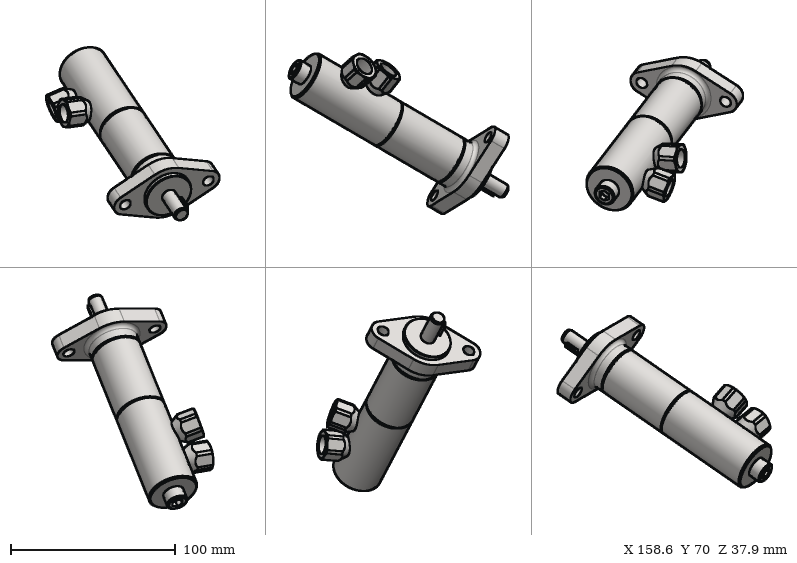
import cadquery as cq
import math


screw_dia = 13.0
screw_end_dia = 11.1
screw_chamfer_length = 0.6
socket_corner_dia = 7.1
socket_depth = 4.0
socket_tip_depth = 1.9

barrel_start = 8.0
barrel_dia = 31.0
barrel_end_dia = 29.3
barrel_chamfer_length = 1.0
groove_dia = 28.0
groove_width = 1.0
groove_starts = (69.6, 116.5)

flange_start = 125.8
flange_thickness = 10.2
flange_center_dia = 37.9
flange_length = 70.0
flange_lobe_radius = 7.5
flange_hole_dia = 7.0
flange_fillet = 2.5

pilot_dia = 30.0
pilot_length = 3.0
pilot_end_dia = 29.3
pilot_chamfer_length = 0.3
shaft_end = 158.6
shaft_dia = 9.0
shaft_tip_dia = 8.0
shaft_chamfer_length = 1.3
key_disc_dia = 10.0
key_disc_x = 149.4
key_disc_y = 7.0
key_width = 2.9
key_top = 6.0

nut_flats = 17.0
nut_corner_dia = 18.4
nut_end = 30.6
nut_cone_start = 12.7
nut_flat_start = 18.9
nut_cone_angle = 30.0
nut_end_dia = 16.8
nut_end_chamfer_angle = 30.0
bore_dia = 11.3
bore_wall_depth = 13.2
bore_floor_dia = 6.5
bore_depth = 15.4
nut_tilt = 10.0
lower_nut_x = 30.8
lower_nut_turn = 23.0
upper_nut_x = 48.8
upper_nut_turn = 2.0

flange_end = flange_start + flange_thickness
pilot_end = flange_end + pilot_length


def revolve_about_x(stations):
    """Solid of revolution about X through (x, diameter) stations."""
    points = [(x, dia / 2) for x, dia in stations]
    outline = [(points[0][0], 0)] + points + [(points[-1][0], 0)]
    return cq.Workplane("XY").polyline(outline).close().revolve(360, (0, 0), (1, 0))


def end_screw():
    body = revolve_about_x([
        (0, screw_end_dia),
        (screw_chamfer_length, screw_dia),
        (barrel_start + barrel_chamfer_length, screw_dia),
    ])
    socket = (
        cq.Workplane("YZ").transformed(rotate=(0, 0, 90))
        .polygon(6, socket_corner_dia).extrude(socket_depth)
    )
    socket_flats = socket_corner_dia * math.cos(math.radians(30))
    tip = cq.Solid.makeCone(
        socket_flats / 2, 0, socket_tip_depth, cq.Vector(socket_depth, 0, 0), cq.Vector(1, 0, 0)
    )
    return body, socket.union(tip)


def barrel():
    body = revolve_about_x([
        (barrel_start, barrel_end_dia),
        (barrel_start + barrel_chamfer_length, barrel_dia),
        (flange_start, barrel_dia),
    ])
    for x in groove_starts:
        ring = (
            cq.Workplane("YZ").workplane(offset=x)
            .circle(flange_center_dia / 2).circle(groove_dia / 2).extrude(groove_width)
        )
        body = body.cut(ring)
    return body


def flange():
    center_radius = flange_center_dia / 2
    lobe_y = flange_length / 2 - flange_lobe_radius
    sine = (center_radius - flange_lobe_radius) / lobe_y
    cosine = math.sqrt(1 - sine ** 2)
    inner = (center_radius * sine, center_radius * cosine)
    outer = (lobe_y + flange_lobe_radius * sine, flange_lobe_radius * cosine)
    plate = (
        cq.Workplane("YZ").workplane(offset=flange_start)
        .moveTo(-inner[0], inner[1])
        .threePointArc((0, center_radius), inner)
        .lineTo(*outer)
        .threePointArc((flange_length / 2, 0), (outer[0], -outer[1]))
        .lineTo(inner[0], -inner[1])
        .threePointArc((0, -center_radius), (-inner[0], -inner[1]))
        .lineTo(-outer[0], -outer[1])
        .threePointArc((-flange_length / 2, 0), (-outer[0], outer[1]))
        .close().extrude(flange_thickness)
    )
    holes = (
        cq.Workplane("YZ").workplane(offset=flange_start)
        .pushPoints([(-lobe_y, 0), (lobe_y, 0)])
        .circle(flange_hole_dia / 2).extrude(flange_thickness)
    )
    return plate.cut(holes)


def flange_root():
    """Concave fillet ring between the barrel and the flange face."""
    barrel_radius = barrel_dia / 2
    fillet_start = flange_start - flange_fillet
    bow = flange_fillet * math.sqrt(0.5)
    outer_radius = barrel_radius + flange_fillet
    return (
        cq.Workplane("XY").moveTo(fillet_start, groove_dia / 2)
        .lineTo(fillet_start, barrel_radius)
        .threePointArc((fillet_start + bow, outer_radius - bow), (flange_start, outer_radius))
        .lineTo(flange_start, groove_dia / 2)
        .close().revolve(360, (0, 0), (1, 0))
    )


def pilot_and_shaft():
    pilot = revolve_about_x([
        (flange_end, pilot_dia),
        (pilot_end - pilot_chamfer_length, pilot_dia),
        (pilot_end, pilot_end_dia),
    ])
    shaft = revolve_about_x([
        (flange_end, shaft_dia),
        (shaft_end - shaft_chamfer_length, shaft_dia),
        (shaft_end, shaft_tip_dia),
    ])
    key = (
        cq.Workplane("XY").center(key_disc_x, key_disc_y)
        .circle(key_disc_dia / 2).extrude(key_width / 2, both=True)
    )
    above_key = (
        cq.Workplane("XY").center(key_disc_x, key_top + key_disc_dia / 2)
        .rect(2 * key_disc_dia, key_disc_dia).extrude(key_width, both=True)
    )
    key = key.cut(above_key)
    return pilot.union(shaft).union(key)


def nut_and_bore(x, tilt, hex_turn):
    """Nut and its bore, pointing to -Y at x and raised by tilt degrees."""
    corner_radius = nut_corner_dia / 2
    slope = math.tan(math.radians(nut_cone_angle))
    cone_start_radius = nut_flats / 2 - (nut_flat_start - nut_cone_start) * slope
    corner_start = nut_flat_start + (corner_radius - nut_flats / 2) / slope
    end_chamfer_length = (corner_radius - nut_end_dia / 2) * math.tan(math.radians(nut_end_chamfer_angle))
    turned = (
        cq.Workplane("XZ")
        .polyline([
            (0, nut_cone_start),
            (cone_start_radius, nut_cone_start),
            (corner_radius, corner_start),
            (corner_radius, nut_end - end_chamfer_length),
            (nut_end_dia / 2, nut_end),
            (0, nut_end),
        ])
        .close().revolve(360, (0, 0), (0, 1))
    )
    hexagon = (
        cq.Workplane("XY").transformed(rotate=(0, 0, hex_turn))
        .polygon(6, nut_flats, circumscribed=True).extrude(nut_end)
    )
    bore = (
        cq.Workplane("XZ")
        .polyline([
            (0, nut_end),
            (bore_dia / 2, nut_end),
            (bore_dia / 2, nut_end - bore_wall_depth),
            (bore_floor_dia / 2, nut_end - bore_depth),
            (0, nut_end - bore_depth),
        ])
        .close().revolve(360, (0, 0), (0, 1))
    )

    def place(shape):
        return shape.rotate((0, 0, 0), (1, 0, 0), 90 - tilt).translate((x, 0, 0))

    return place(turned.intersect(hexagon)), place(bore)


screw, socket = end_screw()
result = barrel().union(screw).union(flange()).union(flange_root()).union(pilot_and_shaft())
result = result.cut(socket)

lower = nut_and_bore(lower_nut_x, -nut_tilt, lower_nut_turn)
upper = nut_and_bore(upper_nut_x, nut_tilt, upper_nut_turn)
for nut, bore in (lower, upper):
    result = result.union(nut).cut(bore)